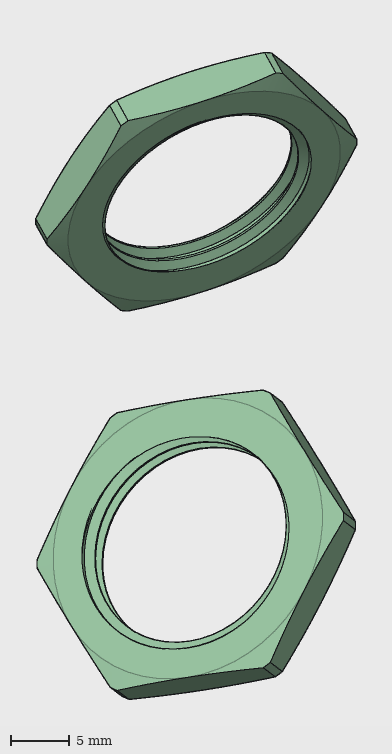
import cadquery as cq
import math

thickness = 3.5
across_flats = 25.4
across_corners = 28.9
face_chamfer_depth = 0.5

thread_pitch = 1.5
minor_radius = 9.2
major_radius = 10.0
root_width = thread_pitch / 3
groove_width = thread_pitch * 7 / 8
groove_overlap = 0.05
crest_angle = 62.0
end_turns = 2


def make_body():
    """Hexagon with its corners turned round and both faces chamfered by a cone."""
    hexagon = (
        cq.Workplane("YZ")
        .polygon(6, across_flats / math.cos(math.radians(30)))
        .extrude(thickness / 2, both=True)
    )
    half = thickness / 2
    edge = half - face_chamfer_depth
    face_radius = across_flats / 2
    corner_radius = across_corners / 2
    turned_blank = (
        cq.Workplane("XY")
        .polyline([
            (-half, 0),
            (-half, face_radius),
            (-edge, corner_radius),
            (edge, corner_radius),
            (half, face_radius),
            (half, 0),
        ])
        .close()
        .revolve(360, (0, 0, 0), (1, 0, 0))
    )
    return hexagon.intersect(turned_blank)


def make_thread_groove():
    """Trapezoidal groove swept along a helix, longer than the nut at both ends."""
    flank_run = (groove_width - root_width) / 2
    flank_slope = flank_run / (major_radius - minor_radius)
    inner_half_width = groove_width / 2 + groove_overlap * flank_slope
    inner_radius = minor_radius - groove_overlap
    length = thickness + end_turns * thread_pitch
    profile = (
        cq.Workplane("XZ")
        .polyline([
            (inner_radius, -inner_half_width),
            (major_radius, -root_width / 2),
            (major_radius, root_width / 2),
            (inner_radius, inner_half_width),
        ])
        .close()
    )
    helix = cq.Wire.makeHelix(thread_pitch, length, minor_radius)
    groove = profile.sweep(cq.Workplane(obj=helix), isFrenet=True)

    start_angle = -crest_angle
    return (
        groove.rotate((0, 0, 0), (0, 0, 1), start_angle)
        .translate((0, 0, -thickness / 2 - thread_pitch))
        .rotate((0, 0, 0), (0, 0, 1), 90)
        .rotate((0, 0, 0), (0, 1, 0), 90)
    )


bore = cq.Workplane("YZ").circle(minor_radius).extrude(thickness / 2, both=True)
result = make_body().cut(bore).cut(make_thread_groove())